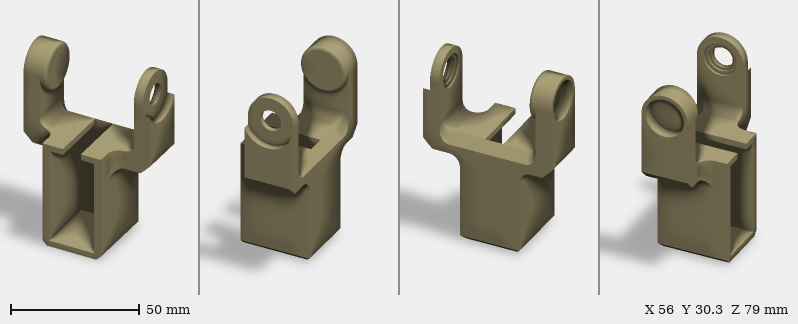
import cadquery as cq

width = 56.0
height = 79.0
depth = 30.25

arm_radius = 10.0
arm_thickness = 7.0
arm_front = -2 * arm_radius
pivot_y = -arm_radius
pivot_z = height - arm_radius
bridge_top = 46.0
bridge_bottom = 38.0
corner_chamfer = 4.0
back_chamfer = 4.0
inner_fillet = 4.0

body_left = 14.0
body_right = 40.0
body_fillet = 5.0
base_chamfer = 2.0
cavity_left = 17.0
cavity_right = 37.0
floor_thickness = 2.6
roof_thickness = 2.6
back_wall = 4.0
slot_left = 23.1
slot_right = 31.05

boss_length = 10.0
boss_fillet = 1.4
recess_radius = 8.4
recess_depth = 5.0

eye_thickness = 4.0
eye_clearance_radius = 11.0
eye_bores = [(7.0, 1.0), (5.5, 2.0), (4.5, eye_thickness)]


def box(x0, x1, y0, y1, z0, z1):
    return cq.Workplane("XY").box(x1 - x0, y1 - y0, z1 - z0, centered=False).translate((x0, y0, z0))


def pivot_cylinder(x_start, length, radius):
    """Cylinder along +X on the common axis of the two pivots."""
    return cq.Workplane("YZ", origin=(x_start, pivot_y, pivot_z)).circle(radius).extrude(length)


def make_arm(x_start):
    """Upright with a round top, reaching down to the underside of the bridge."""
    upright = box(x_start, x_start + arm_thickness, arm_front, 0, bridge_bottom, pivot_z)
    return upright.union(pivot_cylinder(x_start, arm_thickness, arm_radius))


def edge_near(x, y, z):
    return cq.selectors.NearestToPointSelector((x, y, z))


def make_body():
    body = box(body_left, body_right, -depth, 0, 0, bridge_top)
    return body.faces("<Z").edges("|Y or >Y").chamfer(base_chamfer)


def make_fork():
    right_arm_inner = width - arm_thickness
    bridge = box(0, width, arm_front, 0, bridge_bottom, bridge_top)
    fork = bridge.edges("|Y and <Z").chamfer(corner_chamfer)
    fork = fork.union(make_body())

    for x in (body_left, body_right):
        middle_z = (bridge_bottom + bridge_top) / 2
        under = edge_near(x, arm_front / 2, bridge_bottom)
        front = edge_near(x, arm_front, middle_z)
        fork = fork.edges(under + front).fillet(body_fillet)

    slope = (
        cq.Workplane("YZ", origin=(arm_thickness, 0, 0))
        .polyline([(0, bridge_top), (-back_chamfer, bridge_top), (0, bridge_top - back_chamfer)])
        .close()
        .extrude(right_arm_inner - arm_thickness)
    )
    fork = fork.cut(slope)

    arm_tops = make_arm(0).union(make_arm(right_arm_inner))
    keep = box(0, width, arm_front, 0, bridge_top, height)
    fork = fork.union(arm_tops.intersect(keep))

    for x in (arm_thickness, right_arm_inner):
        flat = edge_near(x, (arm_front - back_chamfer) / 2, bridge_top)
        sloped = edge_near(x, -back_chamfer / 2, bridge_top - back_chamfer / 2)
        fork = fork.edges(flat + sloped).fillet(inner_fillet)
    return fork


def cut_cavity(part):
    roof = bridge_top - roof_thickness
    cavity = box(cavity_left, cavity_right, -depth, -back_wall, floor_thickness, roof)
    slot = box(slot_left, slot_right, -depth, -back_wall, roof, bridge_top)
    return part.cut(cavity).cut(slot)


def add_left_boss(part):
    boss = pivot_cylinder(0, boss_length, arm_radius).faces(">X").edges().fillet(boss_fillet)
    return part.union(boss).cut(pivot_cylinder(0, recess_depth, recess_radius))


def cut_right_eye(part):
    inner_face = width - arm_thickness
    clearance_depth = arm_thickness - eye_thickness
    part = part.cut(pivot_cylinder(inner_face + eye_thickness, clearance_depth, eye_clearance_radius))
    for radius, bore_depth in eye_bores:
        part = part.cut(pivot_cylinder(inner_face, bore_depth, radius))
    return part


result = cut_right_eye(add_left_boss(cut_cavity(make_fork())))